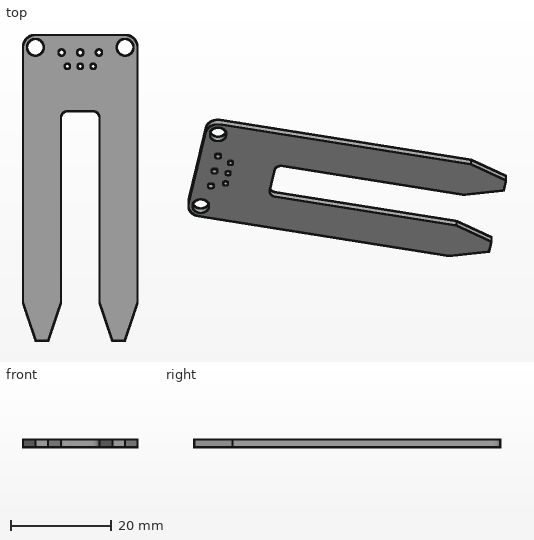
import cadquery as cq

width = 22.85
length = 60.95
thickness = 1.6
corner_radius = 2.5

leg_width = 7.6
slot_width = width - 2 * leg_width
slot_end_y = length - 15.25
slot_corner_radius = 1.3

taper_length = 7.6
tip_width = 2.5
taper_inset = (leg_width - tip_width) / 2

mount_diameter = 3.3
mount_x = width / 2 - corner_radius
mount_y = length - corner_radius

holes_per_row = 3
upper_diameter = 1.2
upper_pitch = 3.7
upper_y = length - 3.55
lower_diameter = 1.05
lower_pitch = 2.55
lower_y = length - 6.3


def fork_plate():
    """Forked plate with tapered legs and rounded corners."""
    outer_x = width / 2
    inner_x = slot_width / 2
    right_side = [
        (inner_x, slot_end_y),
        (inner_x, taper_length),
        (inner_x + taper_inset, 0),
        (outer_x - taper_inset, 0),
        (outer_x, taper_length),
        (outer_x, length),
    ]
    left_side = [(-x, y) for x, y in reversed(right_side)]
    plate = cq.Workplane("XY").polyline(right_side + left_side).close().extrude(thickness)
    plate = plate.edges("|Z and >Y").fillet(corner_radius)
    slot_corners = cq.selectors.BoxSelector(
        (-leg_width, slot_end_y - slot_corner_radius, 0),
        (leg_width, slot_end_y + slot_corner_radius, thickness),
    )
    return plate.edges("|Z").edges(slot_corners).fillet(slot_corner_radius)


def hole_row(count, pitch, y, diameter):
    """Through-hole cutters evenly spaced in X about the centre line."""
    first_x = -pitch * (count - 1) / 2
    centres = [(first_x + i * pitch, y) for i in range(count)]
    return cq.Workplane("XY").pushPoints(centres).circle(diameter / 2).extrude(thickness)


result = (
    fork_plate()
    .cut(hole_row(2, 2 * mount_x, mount_y, mount_diameter))
    .cut(hole_row(holes_per_row, upper_pitch, upper_y, upper_diameter))
    .cut(hole_row(holes_per_row, lower_pitch, lower_y, lower_diameter))
)